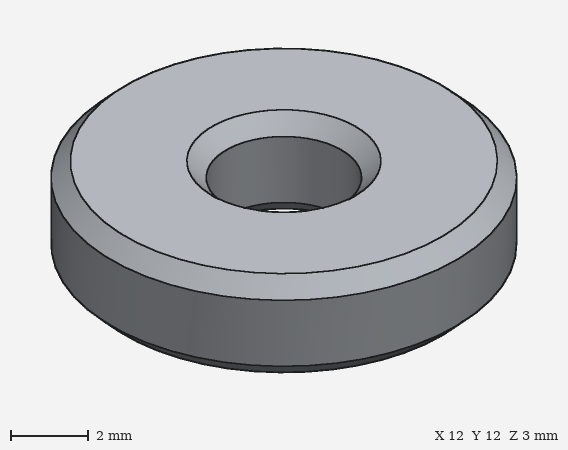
import cadquery as cq

outer_diameter = 12.0
hole_diameter = 4.0
thickness = 3.0
chamfer = 0.5


def make_washer():
    """Flat ring with a through hole, standing on Z = 0."""
    disc = cq.Workplane("XY").circle(outer_diameter / 2).circle(hole_diameter / 2)
    return disc.extrude(thickness)


def chamfer_rims(washer):
    """Break the outer rim and the hole mouth on both flat faces."""
    return washer.faces("|Z").edges().chamfer(chamfer)


result = chamfer_rims(make_washer())